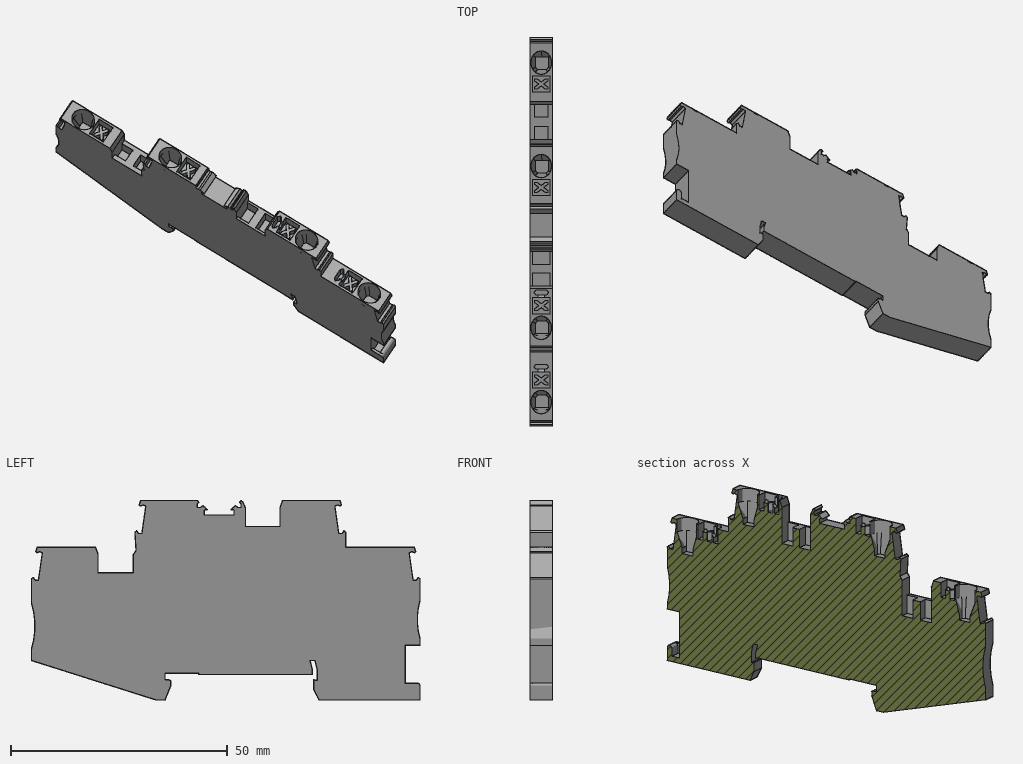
import cadquery as cq
import math

thickness = 5.2
half_length = 44.8
height = 46.0
lower_deck = 35.3
deck_rise = height - lower_deck

left_step = 23.8
right_step = 17.1

left_dip = (29.4, 21.3)
left_dip_floor = 29.4
right_dip = (-4.6, -12.45)
right_dip_floor = 40.0
dip_chamfer_width = 0.6
dip_chamfer_height = 1.7
ledge_skirt_height = 0.8
crest_drop = 0.4

groove_center = 1.5
groove_floor = 42.7

left_curve = (11.8, 22.4, 0.8)
right_curve = (14.15, 23.0, 0.6)

rail_seat = 5.9
seat_relief_height = 6.2
seat_relief_start = 6.3
rail_wall = 14.0
rail_hook = 12.6
slope_start = 9.1
toe_width = 2.0
foot_bottom = -21.5
spring_hook = -20.2
spring_wall = -21.0
spring_bend = 7.1
spring_slot_top = 9.1
rail_edge = -20.0
tongue_bottom = 12.6
tongue_inner = -41.4
tongue_top = 3.9
tongue_floor = 1.4
tongue_wall = 0.6
tongue_lip_radius = 0.7

funnel_width = 4.75
funnel_length = 5.4
funnel_straight_depth = 3.1
funnel_taper_depth = 3.6
funnel_exit_depth = 1.3
left_funnel_inset = 5.8
right_funnel_inset = 5.55
funnel_exit_width = 3.0
funnel_exit_length = 2.9
funnel_exit_corner = 0.5
funnel_exit_shift_x = 0.2
funnel_exit_shift_y = 0.2

pocket_width = 4.1
pocket_length = 3.8
pocket_depth = 3.6
left_pocket_inset = 10.75
right_pocket_inset = 10.7
cross_top_depth = 1.5
cross_width = 3.0
cross_length = 2.3
cross_bar = 0.7

test_slot_inset = 13.7
test_slot_width = 3.3
test_slot_length = 1.1
test_slot_chamfer = 0.45
test_neck_width = 1.4
test_neck_length = 1.1
test_slot_depth = 3.6
test_neck_deep = 2.3
test_neck_shallow = 1.1

window_length = 2.95
window_depth = 4.5
left_window_width = 3.1
right_window_width = 4.1


def end_profile(end_sign, step, rise):
    """Snap-in edge of one deck end, listed from its lower ledge up to the deck."""
    inset_and_z = [
        (0.0, 27.9), (0.45, 28.3), (0.9, 27.7), (1.6, 27.7), (2.5, 33.9),
        (1.9, 34.2), (1.3, 33.9), (1.0, 34.2), (1.3, lower_deck),
    ]
    return [(end_sign * (half_length - step - inset), z + rise) for inset, z in inset_and_z]


def groove_side(side):
    """Stepped lip on one side of the marker groove, listed from the deck down to the floor."""
    offset_and_z = [
        (5.0, height), (4.7, 45.6), (5.0, 45.2), (5.0, 44.4), (4.3, 44.4),
        (3.8, 44.9), (2.7, 43.9), (3.4, 43.8), (3.4, groove_floor),
    ]
    return [(groove_center + side * offset, z) for offset, z in offset_and_z]


def block_outline():
    """Closed side outline, drawn from the lower left corner over the top and back underneath."""
    left_low, left_high, left_sag = left_curve
    right_low, right_high, right_sag = right_curve
    chamfer_start = left_dip[1] - dip_chamfer_width

    left_edge = end_profile(1, 0, 0)
    left_edge += [
        (left_dip[0] + dip_chamfer_width, lower_deck),
        (left_dip[0], lower_deck - dip_chamfer_height),
        (left_dip[0], left_dip_floor),
        (left_dip[1], left_dip_floor),
        (left_dip[1], lower_deck - dip_chamfer_height),
        (chamfer_start, lower_deck - ledge_skirt_height),
    ]
    upper_edge = end_profile(1, left_step, deck_rise) + groove_side(1) + groove_side(-1)[::-1]
    upper_edge += [
        (right_dip[0] + dip_chamfer_width, height - crest_drop),
        (right_dip[0], height - dip_chamfer_height),
        (right_dip[0], right_dip_floor),
        (right_dip[1], right_dip_floor),
        (right_dip[1], height - dip_chamfer_height),
        (right_dip[1] - dip_chamfer_width, height),
    ]
    right_edge = end_profile(-1, right_step, deck_rise)[::-1]
    right_edge += [(right_step - half_length, lower_deck)]
    right_edge += end_profile(-1, 0, 0)[::-1]

    tongue_edge = [
        (-half_length, tongue_bottom), (tongue_inner, tongue_bottom),
        (tongue_inner, tongue_top), (tongue_lip_radius - half_length, tongue_top),
    ]
    rail_side = [
        (-half_length, 0), (foot_bottom, 0),
        (spring_hook, 2.5), (spring_hook, 4.75), (spring_wall, 4.6), (spring_wall, spring_bend),
        (-20.5, spring_slot_top), (-19.4, spring_slot_top), (rail_edge, spring_bend), (rail_edge, rail_seat),
        (seat_relief_start, rail_seat), (seat_relief_start, seat_relief_height),
        (rail_wall, seat_relief_height), (rail_wall, 4.75), (13.2, 4.75), (rail_hook, 4.5), (rail_hook, 3.4),
        (rail_wall, 0), (rail_wall + toe_width, 0),
    ]
    corner_z = tongue_top - tongue_lip_radius
    corner_mid = tongue_lip_radius * (1 - math.sqrt(0.5))

    outline = cq.Workplane("YZ").moveTo(half_length, slope_start).lineTo(half_length, left_low)
    outline = outline.threePointArc(
        (half_length - left_sag, (left_low + left_high) / 2), (half_length, left_high)
    )
    for point in left_edge + upper_edge + right_edge + [(-half_length, right_high)]:
        outline = outline.lineTo(*point)
    outline = outline.threePointArc(
        (right_sag - half_length, (right_low + right_high) / 2), (-half_length, right_low)
    )
    for point in tongue_edge:
        outline = outline.lineTo(*point)
    outline = outline.threePointArc(
        (corner_mid - half_length, tongue_top - corner_mid), (-half_length, corner_z)
    )
    for point in rail_side:
        outline = outline.lineTo(*point)
    return outline.close()


def box_down(width, y_first, y_last, top, depth):
    """Box centred on X whose top is at the given height."""
    return (
        cq.Workplane("XY", origin=(0, (y_first + y_last) / 2, top - depth))
        .rect(width, abs(y_last - y_first))
        .extrude(depth)
    )


def wire_funnel(y, top, end_sign):
    """Oval mouth that tapers to a square exit with two cut corners facing the block middle."""
    taper_top = top - funnel_straight_depth
    exit_top = taper_top - funnel_taper_depth
    exit_x = funnel_exit_shift_x
    exit_y = y - end_sign * funnel_exit_shift_y
    half_width = funnel_exit_width / 2
    half_exit = funnel_exit_length / 2
    exit_points = [
        (exit_x + x, exit_y + end_sign * along)
        for x, along in (
            (half_width, half_exit),
            (-half_width, half_exit),
            (-half_width, funnel_exit_corner - half_exit),
            (funnel_exit_corner - half_width, -half_exit),
            (half_width - funnel_exit_corner, -half_exit),
            (half_width, funnel_exit_corner - half_exit),
        )
    ]
    mouth = (
        cq.Workplane("XY", origin=(0, y, taper_top))
        .ellipse(funnel_width / 2, funnel_length / 2)
        .extrude(funnel_straight_depth)
    )
    taper = (
        cq.Workplane("XY", origin=(0, 0, taper_top))
        .center(0, y)
        .ellipse(funnel_width / 2, funnel_length / 2)
        .workplane(offset=-funnel_taper_depth)
        .center(0, -y)
        .polyline(exit_points)
        .close()
        .loft(ruled=True)
    )
    exit_hole = (
        cq.Workplane("XY", origin=(0, 0, exit_top))
        .polyline(exit_points)
        .close()
        .extrude(-funnel_exit_depth)
    )
    return mouth.union(taper).union(exit_hole)


def release_pocket(y, top):
    """Square pocket volume minus the cross that stands in it."""
    pocket = box_down(pocket_width, y - pocket_length / 2, y + pocket_length / 2, top, pocket_depth)
    cross_limit = box_down(
        cross_width, y - cross_length / 2, y + cross_length / 2,
        top - cross_top_depth, pocket_depth - cross_top_depth,
    )
    angle = math.degrees(math.atan2(cross_length, cross_width))
    bar_length = 2 * cross_width
    for turn in (angle, -angle):
        bar = (
            cq.Workplane("XY", origin=(0, y, top - pocket_depth))
            .transformed(rotate=(0, 0, turn))
            .rect(bar_length, cross_bar)
            .extrude(pocket_depth)
        )
        pocket = pocket.cut(bar.intersect(cross_limit))
    return pocket


def test_slot(y, top):
    """Wide slot with a narrow neck whose floor ramps up toward the release pocket."""
    slot_end = y - test_slot_length / 2
    slot = box_down(test_slot_width, slot_end, y + test_slot_length / 2, top, test_slot_depth)
    slot = slot.edges("|Z").chamfer(test_slot_chamfer)
    neck_end = slot_end - test_neck_length
    neck = (
        cq.Workplane("YZ")
        .polyline([
            (slot_end, top),
            (slot_end, top - test_neck_deep),
            (neck_end, top - test_neck_shallow),
            (neck_end, top),
        ])
        .close()
        .extrude(test_neck_width / 2, both=True)
    )
    return slot.union(neck)


def tongue_recess():
    """Hollow of the tongue behind its thin side wall, leaving a round-topped lip at the end."""
    lip_inner = 2 * tongue_lip_radius - half_length
    lip_axis = tongue_lip_radius - half_length
    round_start = tongue_top - tongue_lip_radius
    arc_y = lip_axis + tongue_lip_radius * math.sqrt(0.5)
    arc_z = round_start + tongue_lip_radius * math.sqrt(0.5)
    return (
        cq.Workplane("YZ", origin=(tongue_wall - thickness / 2, 0, 0))
        .moveTo(tongue_inner, tongue_top)
        .lineTo(tongue_inner, tongue_floor)
        .lineTo(lip_inner, tongue_floor)
        .lineTo(lip_inner, round_start)
        .threePointArc((arc_y, arc_z), (lip_axis, tongue_top))
        .close()
        .extrude(thickness - tongue_wall)
    )


def cut_dip_windows(body, dip, floor, width):
    """Cut one window against each wall of a dip."""
    first, last = dip
    body = body.cut(box_down(width, first, first - window_length, floor, window_depth))
    return body.cut(box_down(width, last, last + window_length, floor, window_depth))


result = block_outline().extrude(thickness / 2, both=True)

for end_sign, step, funnel_inset, pocket_inset in (
    (1, left_step, left_funnel_inset, left_pocket_inset),
    (-1, right_step, right_funnel_inset, right_pocket_inset),
):
    for shift, top in ((0, lower_deck), (step, height)):
        end = half_length - shift
        result = result.cut(wire_funnel(end_sign * (end - funnel_inset), top, end_sign))
        result = result.cut(release_pocket(end_sign * (end - pocket_inset), top))
        if end_sign < 0:
            result = result.cut(test_slot(test_slot_inset - end, top))

result = cut_dip_windows(result, left_dip, left_dip_floor, left_window_width)
result = cut_dip_windows(result, right_dip, right_dip_floor, right_window_width)
result = result.cut(tongue_recess())